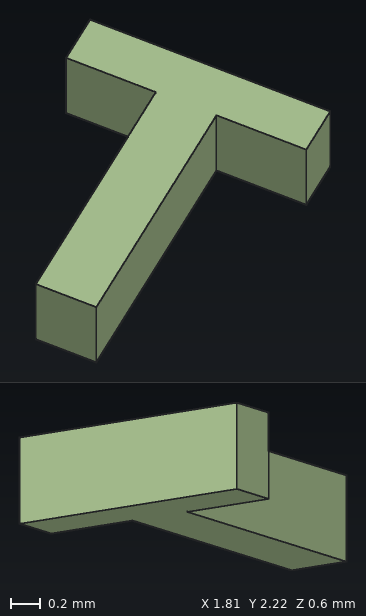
import cadquery as cq

bar_length = 1.81
bar_width = 0.37
stem_width = 0.457
overall_length = 2.22
thickness = 0.6

stem_length = overall_length - bar_width


def plate(size_x, size_y, start_y):
    """Block centred on X, running from start_y along +Y and from Z = 0 up."""
    block = cq.Workplane("XY").box(size_x, size_y, thickness, centered=(True, False, False))
    return block.translate((0, start_y, 0))


stem = plate(stem_width, stem_length, 0)
crossbar = plate(bar_length, bar_width, stem_length)

result = stem.union(crossbar)